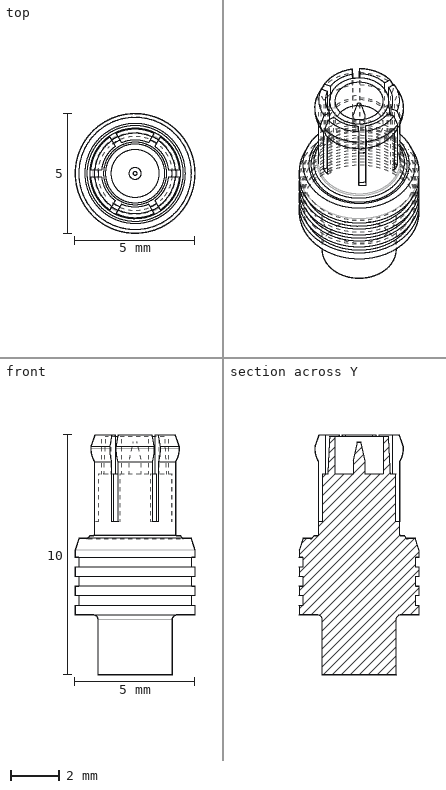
import cadquery as cq
import math

tail_fillet = 0.2
flange_bottom = 2.5
rib_pitch = 0.8
rib_height = 0.4
groove_count = 3
flange_cone_start = 5.2
flange_top = 5.7
valley_height = 5.67
collar_top = 5.8
collar_fillet = 0.05
slot_bottom = 6.4
socket_floor = 8.38
head_bottom = 8.88
head_band_bottom = 9.43
head_band_top = 9.51
total_height = 10.0
tube_top = 9.94
pin_cone_start = 8.94
pin_top = 9.7

tail_radius = 1.55
flange_radius = 2.5
groove_radius = 2.35
flange_top_radius = 2.34
collar_recess_radius = 2.09
valley_radius = 2.0
collar_top_radius = 1.89
barrel_radius = 1.7
head_top_radius = 1.68
head_radius = 1.85
collet_bore_radius = 1.4
slot_floor_radius = 1.53
tube_base_radius = 1.31
tube_top_radius = 1.23
tube_bore_radius = 1.0
pin_radius = 0.25
pin_tip_radius = 0.08

slot_width = 0.3
slot_count = 6

cut_margin = 0.1


def outer_body():
    """Solid of revolution: tail, ribbed flange, collar, barrel and bulged collet head."""
    midpoint_share = 1 - math.sqrt(0.5)
    tail_fillet_middle = (
        tail_radius + tail_fillet * midpoint_share,
        flange_bottom - tail_fillet * midpoint_share,
    )
    collar_fillet_middle = (
        barrel_radius + collar_fillet * midpoint_share,
        collar_top + collar_fillet * midpoint_share,
    )

    bulge_height = head_band_bottom - head_bottom
    bulge_depth = head_radius - barrel_radius
    bulge_radius = (bulge_height**2 + bulge_depth**2) / (2 * bulge_depth)
    half_angle = math.asin(bulge_height / bulge_radius) / 2
    bulge_middle = (
        head_radius - bulge_radius * (1 - math.cos(half_angle)),
        head_band_bottom - bulge_radius * math.sin(half_angle),
    )

    profile = (
        cq.Workplane("XZ")
        .moveTo(0, 0)
        .lineTo(tail_radius, 0)
        .lineTo(tail_radius, flange_bottom - tail_fillet)
        .threePointArc(tail_fillet_middle, (tail_radius + tail_fillet, flange_bottom))
        .lineTo(flange_radius, flange_bottom)
        .lineTo(flange_radius, flange_cone_start)
        .lineTo(flange_top_radius, flange_top)
        .lineTo(collar_recess_radius, flange_top)
        .lineTo(valley_radius, valley_height)
        .lineTo(collar_top_radius, collar_top)
        .lineTo(barrel_radius + collar_fillet, collar_top)
        .threePointArc(collar_fillet_middle, (barrel_radius, collar_top + collar_fillet))
        .lineTo(barrel_radius, head_bottom)
        .threePointArc(bulge_middle, (head_radius, head_band_bottom))
        .lineTo(head_radius, head_band_top)
        .lineTo(head_top_radius, total_height)
        .lineTo(0, total_height)
        .close()
    )
    return profile.revolve(360, (0, 0, 0), (0, 1, 0))


def ring(outer_radius, inner_radius, bottom, height):
    return (
        cq.Workplane("XY", origin=(0, 0, bottom))
        .circle(outer_radius)
        .circle(inner_radius)
        .extrude(height)
    )


def flange_grooves():
    """Rectangular grooves that leave evenly spaced ribs around the flange."""
    grooves = cq.Workplane("XY")
    for index in range(groove_count):
        bottom = flange_bottom + rib_height + index * rib_pitch
        groove = ring(flange_radius + cut_margin, groove_radius, bottom, rib_pitch - rib_height)
        grooves = grooves.add(groove)
    return grooves.combine()


def collet_bore():
    return (
        cq.Workplane("XY", origin=(0, 0, socket_floor))
        .circle(collet_bore_radius)
        .extrude(total_height - socket_floor)
    )


def collet_slots():
    """Radial slots through the collet wall, continuing down as shallow channels in the barrel."""
    reach = head_radius + cut_margin
    slots = cq.Workplane("XY")
    for index in range(slot_count):
        slot = cq.Workplane("XY", origin=(0, 0, slot_bottom)).box(
            reach, slot_width, total_height - slot_bottom, centered=(False, True, False)
        )
        slots = slots.add(slot.rotate((0, 0, 0), (0, 0, 1), index * 360 / slot_count))
    core = cq.Workplane("XY").circle(slot_floor_radius).extrude(socket_floor)
    return slots.combine().cut(core)


def insulator_tube():
    """Tapered tube standing on the socket floor inside the collet."""
    profile = (
        cq.Workplane("XZ")
        .moveTo(tube_bore_radius, socket_floor)
        .lineTo(tube_base_radius, socket_floor)
        .lineTo(tube_top_radius, tube_top)
        .lineTo(tube_bore_radius, tube_top)
        .close()
    )
    return profile.revolve(360, (0, 0, 0), (0, 1, 0))


def contact_pin():
    """Centre contact with a flat-ended conical tip."""
    profile = (
        cq.Workplane("XZ")
        .moveTo(0, socket_floor)
        .lineTo(pin_radius, socket_floor)
        .lineTo(pin_radius, pin_cone_start)
        .lineTo(pin_tip_radius, pin_top)
        .lineTo(0, pin_top)
        .close()
    )
    return profile.revolve(360, (0, 0, 0), (0, 1, 0))


shell = outer_body().cut(flange_grooves()).cut(collet_bore()).cut(collet_slots())
result = shell.union(insulator_tube()).union(contact_pin())